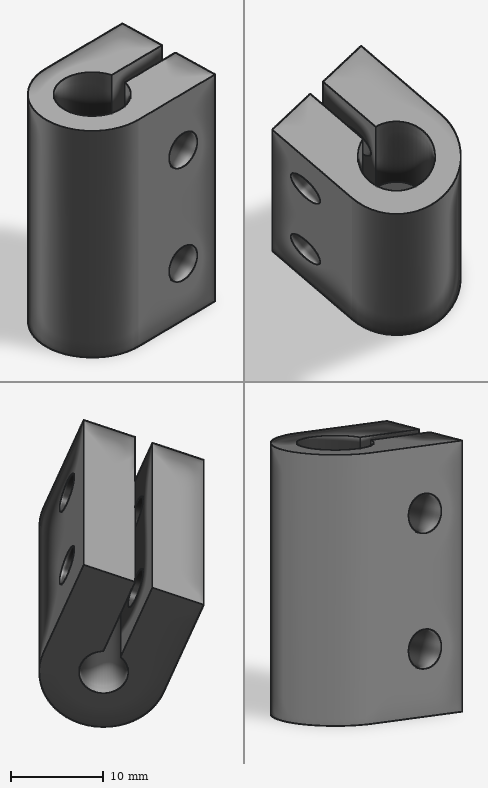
import cadquery as cq

height = 30.0
width = 14.0
depth = 19.0
nose_radius = width / 2
back_y = depth - nose_radius

wide_bore_diameter = 8.4
narrow_bore_diameter = 5.35
wide_bore_depth = height / 2

slot_width = 2.0
screw_hole_diameter = 4.4
screw_hole_back_offset = 5.0
screw_hole_heights = (height / 4, height * 3 / 4)


def make_body():
    return (
        cq.Workplane("XY")
        .moveTo(-nose_radius, back_y)
        .lineTo(-nose_radius, 0)
        .threePointArc((0, -nose_radius), (nose_radius, 0))
        .lineTo(nose_radius, back_y)
        .close()
        .extrude(height)
    )


def make_stepped_bore():
    narrow = cq.Workplane("XY").circle(narrow_bore_diameter / 2).extrude(height)
    wide = (
        cq.Workplane("XY")
        .workplane(offset=height - wide_bore_depth)
        .circle(wide_bore_diameter / 2)
        .extrude(wide_bore_depth)
    )
    return narrow.union(wide)


def make_slot():
    return cq.Workplane("XY").box(slot_width, back_y, height, centered=(True, False, False))


def make_screw_holes():
    hole_y = back_y - screw_hole_back_offset
    return (
        cq.Workplane("YZ")
        .pushPoints([(hole_y, hole_z) for hole_z in screw_hole_heights])
        .circle(screw_hole_diameter / 2)
        .extrude(width / 2, both=True)
    )


result = make_body().cut(make_stepped_bore()).cut(make_slot()).cut(make_screw_holes())